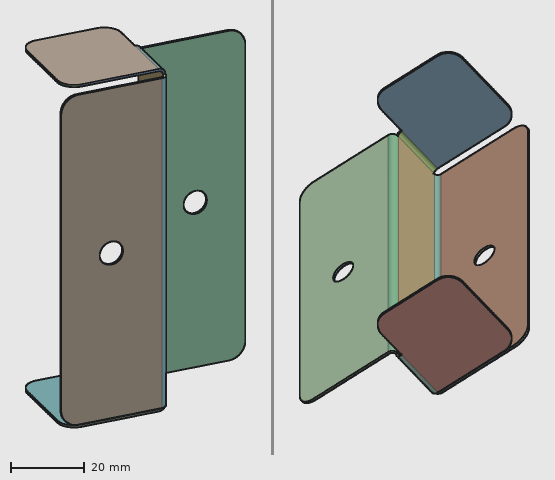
import cadquery as cq
import math

WIDTH = 32.0
DEPTH = 63.8
HEIGHT = 104.0

THICKNESS = 0.7
BEND_RADIUS = 2.0
INNER_RADIUS = BEND_RADIUS - THICKNESS
CORNER_RADIUS = 5.0

BODY_BOTTOM = BEND_RADIUS
BODY_HEIGHT = HEIGHT - 2 * BEND_RADIUS
WEB_REAR = 32.0
WEB_FRONT = WEB_REAR - THICKNESS
REAR_FLANGE_X = 12.1
WEB_LEFT = REAR_FLANGE_X + BEND_RADIUS
WEB_RIGHT = WIDTH - BEND_RADIUS
TAB_FRONT = 2.0
TAB_REAR = WEB_REAR - BEND_RADIUS

HOLE_DIAMETER = 7.0
HOLE_EDGE_DISTANCE = 15.0

DIAGONAL = math.sqrt(0.5)


def make_body():
    """Z-shaped sheet: front flange, web and rear flange with two bends."""
    rear_bend_y = WEB_FRONT + BEND_RADIUS
    front_bend_y = WEB_REAR - BEND_RADIUS
    outer = BEND_RADIUS * DIAGONAL
    inner = INNER_RADIUS * DIAGONAL
    return (
        cq.Workplane("XY", origin=(0, 0, BODY_BOTTOM))
        .moveTo(WIDTH, 0)
        .lineTo(WIDTH, front_bend_y)
        .threePointArc((WEB_RIGHT + outer, front_bend_y + outer), (WEB_RIGHT, WEB_REAR))
        .lineTo(WEB_LEFT, WEB_REAR)
        .threePointArc((WEB_LEFT - inner, rear_bend_y - inner), (WEB_LEFT - INNER_RADIUS, rear_bend_y))
        .lineTo(REAR_FLANGE_X + THICKNESS, DEPTH)
        .lineTo(REAR_FLANGE_X, DEPTH)
        .lineTo(REAR_FLANGE_X, rear_bend_y)
        .threePointArc((WEB_LEFT - outer, rear_bend_y - outer), (WEB_LEFT, WEB_FRONT))
        .lineTo(WEB_RIGHT, WEB_FRONT)
        .threePointArc((WEB_RIGHT + inner, front_bend_y + inner), (WIDTH - THICKNESS, front_bend_y))
        .lineTo(WIDTH - THICKNESS, 0)
        .close()
        .extrude(BODY_HEIGHT)
        .edges("|X and (<Y or >Y)")
        .fillet(CORNER_RADIUS)
    )


def make_holes():
    """One cutter through each flange at mid height."""
    return (
        cq.Workplane("YZ")
        .pushPoints([(y, HEIGHT / 2) for y in (HOLE_EDGE_DISTANCE, DEPTH - HOLE_EDGE_DISTANCE)])
        .circle(HOLE_DIAMETER / 2)
        .extrude(WIDTH)
    )


def make_top_tab():
    """Flat tab and the bend that joins it to the top of the web."""
    plate = (
        cq.Workplane("XY", origin=(0, 0, HEIGHT - THICKNESS))
        .moveTo(0, TAB_FRONT)
        .lineTo(WEB_RIGHT, TAB_FRONT)
        .lineTo(WEB_RIGHT, TAB_REAR)
        .lineTo(0, TAB_REAR)
        .close()
        .extrude(THICKNESS)
        .edges("|Z and (<X or <Y)")
        .fillet(CORNER_RADIUS)
    )
    bend_z = HEIGHT - BEND_RADIUS
    outer = BEND_RADIUS * DIAGONAL
    inner = INNER_RADIUS * DIAGONAL
    bend = (
        cq.Workplane("YZ", origin=(WEB_LEFT, 0, 0))
        .moveTo(WEB_REAR, bend_z)
        .threePointArc((TAB_REAR + outer, bend_z + outer), (TAB_REAR, HEIGHT))
        .lineTo(TAB_REAR, HEIGHT - THICKNESS)
        .threePointArc((TAB_REAR + inner, bend_z + inner), (WEB_FRONT, bend_z))
        .close()
        .extrude(WEB_RIGHT - WEB_LEFT)
    )
    return plate.union(bend)


top_tab = make_top_tab()
bottom_tab = top_tab.mirror("XY", (0, 0, HEIGHT / 2))
result = make_body().cut(make_holes()).union(top_tab).union(bottom_tab)